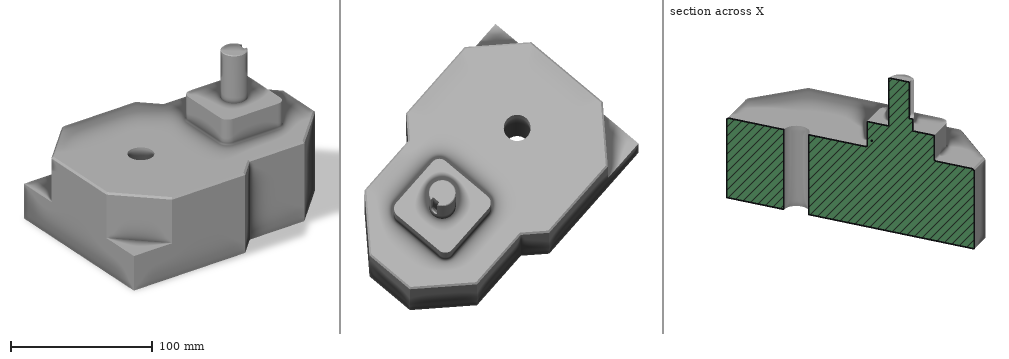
import cadquery as cq

width = 133.4
length = 192.2
total_height = 122.2

body_height = 63.8
front_corner_cut = width / 4
shoulder_y = 96.8
neck_width = 105.0
back_corner_cut = 33.6
top_chamfer = 1.3
foot_height = 27.7

boss_size = 52.3
boss_height = 20.2
boss_corner_radius = 6.5
boss_base_fillet = 1.3

shaft_diameter = 19.0
shaft_chamfer = 0.5
shaft_y = 135.0
keyway_width = 5.8
keyway_depth = 2.9
keyway_length = 28.8
hole_diameter = 19.0
hole_y = 54.0

half_width = width / 2
half_neck = neck_width / 2
boss_top = body_height + boss_height


def mirrored_outline(right_side):
    """Close a right-hand chain of points with its mirror image about X = 0."""
    left_side = [(-x, y) for x, y in reversed(right_side)]
    return cq.Workplane("XY").polyline(right_side + left_side).close()


def make_body():
    back_edge = [
        (half_width, shoulder_y),
        (half_neck, shoulder_y + half_width - half_neck),
        (half_neck, length - back_corner_cut),
        (half_neck - back_corner_cut, length),
    ]
    cut_front = [(half_width - front_corner_cut, 0), (half_width, front_corner_cut)]
    body = mirrored_outline(cut_front + back_edge).extrude(body_height)
    body = body.faces(">Z").edges().chamfer(top_chamfer)
    foot = mirrored_outline([(half_width, 0)] + back_edge).extrude(foot_height)
    return body.union(foot)


def make_boss():
    boss = cq.Workplane("XY", origin=(0, shaft_y, body_height))
    boss = boss.rect(boss_size, boss_size).extrude(boss_height)
    return boss.edges("|Z").fillet(boss_corner_radius)


def make_shaft():
    shaft_length = total_height - boss_top
    shaft = cq.Workplane("XY", origin=(0, shaft_y, boss_top))
    shaft = shaft.circle(shaft_diameter / 2).extrude(shaft_length)
    shaft = shaft.faces(">Z").edges().chamfer(shaft_chamfer)
    keyway_floor_y = shaft_y + shaft_diameter / 2 - keyway_depth
    keyway_radius = keyway_width / 2
    keyway_bottom = -keyway_length
    keyway = (
        cq.Workplane("XZ", origin=(0, keyway_floor_y, total_height))
        .moveTo(-keyway_radius, 0)
        .lineTo(-keyway_radius, keyway_bottom + keyway_radius)
        .threePointArc((0, keyway_bottom), (keyway_radius, keyway_bottom + keyway_radius))
        .lineTo(keyway_radius, 0)
        .close()
        .extrude(-shaft_diameter)
    )
    return shaft.cut(keyway)


def round_boss_base(housing):
    """Blend the foot of the boss into the top face of the body."""
    reach = boss_size / 2 + boss_base_fillet
    boss_base = cq.selectors.BoxSelector(
        (-reach, shaft_y - reach, body_height - boss_base_fillet / 2),
        (reach, shaft_y + reach, body_height + boss_base_fillet / 2),
    )
    return housing.edges(boss_base).fillet(boss_base_fillet)


housing = round_boss_base(make_body().union(make_boss()))
hole = cq.Workplane("XY").center(0, hole_y).circle(hole_diameter / 2).extrude(body_height)
result = housing.union(make_shaft()).cut(hole)